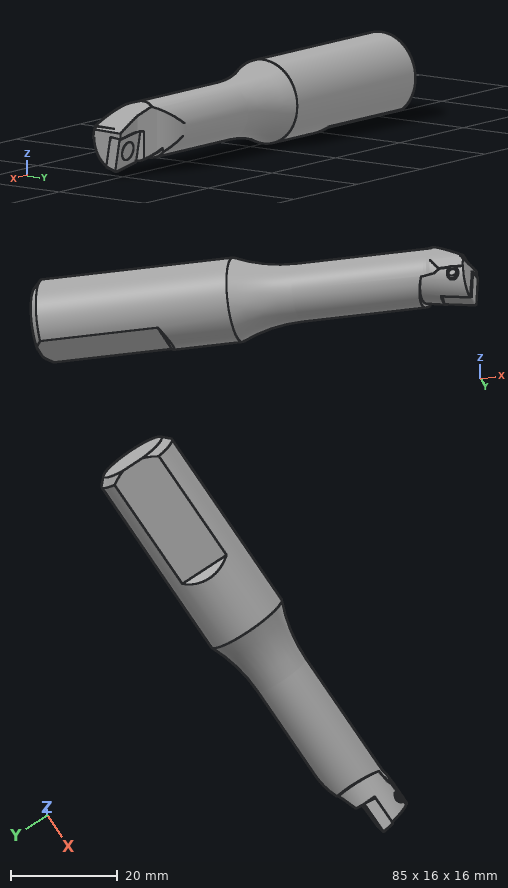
import cadquery as cq
import math

length = 85.0
overshoot = 20.0

shank_radius = 8.0
shank_end = 38.5
rear_chamfer = 1.4
flat_height = -6.25
flat_end = 24.3
flat_runout = 1.6

bar_radius = 5.5
neck_radius = 30.0
neck_drop = shank_radius - bar_radius
bar_start = shank_end + math.sqrt(neck_radius**2 - (neck_radius - neck_drop) ** 2)
bar_end = 76.15

nose_land_end = 76.7
nose_land_radius = 5.54
nose_start = 77.45
nose_radius = 5.7
top_slope_end_x = 83.9
top_slope_end_z = 1.25
side_flat_top = 1.0
side_flat_bottom = -1.05
side_flat_lead = 1.75
side_flat_bottom_start = nose_start + side_flat_lead

belly_tilt = 10.2
belly_radius = 5.5
belly_y = -0.2
belly_ref_x = 78.7
belly_ref_z = 0.05
belly_rear_low_x = 74.4
belly_rear_top = (75.6, -2.0)
belly_step = (78.2, -1.75)

end_face_x = 84.63
end_face_lean = 0.12
end_bevel = 0.6

relief_start = 69.6
relief_arc_mid = (72.9, 4.8)
relief_arc_end = (76.1, 3.2)
relief_bend = (79.9, 1.5)
seat_rear = (80.8, 1.37)
seat_front_y = 1.15

insert_tilt = math.radians(9.5)
insert_tip_z = -6.85
insert_edge = 6.45
insert_acute = math.radians(80.0)
insert_thickness = 2.38
insert_relief = 7.0
insert_corner_radius = 0.4

screw_radius = 1.1
screw_head_radius = 1.75
screw_head_height = 1.2
screw_length = 6.3
screw_end_chamfer = 0.35

insert_plane = cq.Plane(
    origin=(length, 0, insert_tip_z),
    xDir=(-1, 0, 0),
    normal=(0, math.cos(insert_tilt), -math.sin(insert_tilt)),
)
insert_run = insert_edge * math.sin(insert_acute)
insert_rise = insert_edge * math.cos(insert_acute)
insert_centre = (insert_run / 2, (insert_edge + insert_rise) / 2)


def make_turned_blank():
    """Shank, neck, bar and nose as one body of revolution."""
    neck_mid_x = (shank_end + bar_start) / 2
    neck_mid_r = bar_radius + neck_radius - math.sqrt(neck_radius**2 - (bar_start - neck_mid_x) ** 2)
    return (
        cq.Workplane("XY")
        .moveTo(0, 0)
        .lineTo(0, shank_radius - rear_chamfer)
        .lineTo(rear_chamfer, shank_radius)
        .lineTo(shank_end, shank_radius)
        .threePointArc((neck_mid_x, neck_mid_r), (bar_start, bar_radius))
        .lineTo(bar_end, bar_radius)
        .lineTo(nose_land_end, nose_land_radius)
        .lineTo(nose_start, nose_radius)
        .lineTo(length, nose_radius)
        .lineTo(length, 0)
        .close()
        .revolve(360, (0, 0, 0), (1, 0, 0))
    )


def make_side_flat():
    """Wedge of material whose -Y face is tangent to the round nose."""
    tangent_y = -math.sqrt(nose_radius**2 - side_flat_top**2)
    outward_slope = side_flat_top / -tangent_y
    bottom_y = tangent_y - outward_slope * (side_flat_top - side_flat_bottom)
    wedge = (
        cq.Workplane("YZ", origin=(nose_start, 0, 0))
        .polyline([
            (0, side_flat_top),
            (tangent_y, side_flat_top),
            (bottom_y, side_flat_bottom),
            (0, side_flat_bottom),
        ])
        .close()
        .extrude(length - nose_start)
    )
    slanted_rear = (
        cq.Workplane("XZ")
        .polyline([
            (nose_start, side_flat_top),
            (length, side_flat_top),
            (length, side_flat_bottom),
            (side_flat_bottom_start, side_flat_bottom),
        ])
        .close()
        .extrude(overshoot, both=True)
    )
    return wedge.intersect(slanted_rear)


def make_clamping_flat_cut():
    """Flat under the shank, open at the rear and running out on a slope."""
    return (
        cq.Workplane("XZ")
        .polyline([
            (0, flat_height),
            (flat_end, flat_height),
            (flat_end + flat_runout, -shank_radius),
            (0, -shank_radius),
        ])
        .close()
        .extrude(overshoot, both=True)
    )


def make_top_slope_cut():
    """Plane that slopes down from the top of the bar to the tip."""
    slope = (top_slope_end_z - bar_radius) / (top_slope_end_x - bar_end)
    far_x = length + overshoot
    far_z = bar_radius + slope * (far_x - bar_end)
    return (
        cq.Workplane("XZ")
        .polyline([
            (bar_end, bar_radius),
            (far_x, far_z),
            (far_x, overshoot),
            (bar_end - bar_radius, overshoot),
            (bar_end - bar_radius, bar_radius - slope * bar_radius),
        ])
        .close()
        .extrude(overshoot, both=True)
    )


def make_belly_region():
    """Everything under the nose that the inclined cylinder replaces."""
    return (
        cq.Workplane("XZ")
        .polyline([
            (belly_rear_low_x, -bar_radius),
            belly_rear_top,
            belly_step,
            (side_flat_bottom_start, side_flat_bottom),
            (length, side_flat_bottom),
            (length, -overshoot),
            (belly_rear_low_x, -overshoot),
        ])
        .close()
        .extrude(overshoot, both=True)
    )


def make_belly():
    """Underside of the nose, dropping towards the insert tip."""
    cylinder = (
        cq.Workplane("YZ")
        .circle(belly_radius)
        .extrude(overshoot, both=True)
        .rotate((0, 0, 0), (0, 1, 0), belly_tilt)
        .translate((belly_ref_x, belly_y, belly_ref_z))
    )
    return cylinder.intersect(make_belly_region())


def make_end_cut():
    """Slanted end face, and the bevel between it and the sloping top."""
    face = (
        cq.Workplane("XY")
        .polyline([
            (end_face_x - end_face_lean * overshoot, -overshoot),
            (end_face_x + end_face_lean * overshoot, overshoot),
            (end_face_x + overshoot, overshoot),
            (end_face_x + overshoot, -overshoot),
        ])
        .close()
        .extrude(overshoot, both=True)
    )
    bevel = (
        cq.Workplane("XZ")
        .polyline([
            (end_face_x - end_bevel, top_slope_end_z),
            (end_face_x, top_slope_end_z - end_bevel),
            (end_face_x + end_bevel, top_slope_end_z),
        ])
        .close()
        .extrude(overshoot, both=True)
        .rotate((end_face_x, 0, 0), (end_face_x, 0, 1), -math.degrees(math.atan(end_face_lean)))
    )
    return face.union(bevel)


def make_chip_relief_cut():
    """Relief on the +Y side that runs down to the seat face of the insert."""
    return (
        cq.Workplane("XY")
        .moveTo(relief_start, bar_radius)
        .threePointArc(relief_arc_mid, relief_arc_end)
        .lineTo(*relief_bend)
        .lineTo(*seat_rear)
        .lineTo(length, seat_front_y)
        .lineTo(length, overshoot)
        .lineTo(relief_start, overshoot)
        .close()
        .extrude(overshoot, both=True)
    )


def insert_outline():
    """Rhombus on the rake plane, shrunk and regrown to round its corners."""
    return (
        cq.Workplane(insert_plane)
        .polyline([
            (0, 0),
            (0, insert_edge),
            (insert_run, insert_edge + insert_rise),
            (insert_run, insert_rise),
        ])
        .close()
        .offset2D(-insert_corner_radius)
        .offset2D(insert_corner_radius)
    )


def make_insert_blank():
    """Insert without its screw hole, tapering away from the rake face."""
    return insert_outline().extrude(-insert_thickness, taper=insert_relief)


def make_edge_clearance():
    """Space under the lower cutting edge, so the holder stays behind the insert's flank."""
    inset = insert_thickness * math.tan(math.radians(insert_relief)) / math.sin(insert_acute)
    return (
        cq.Workplane(insert_plane)
        .polyline([
            (-belly_radius, inset),
            (0, inset),
            (insert_run, insert_rise + inset),
            (insert_run, -belly_radius),
            (-belly_radius, -belly_radius),
        ])
        .close()
        .extrude(-insert_thickness)
    )


def make_screw():
    """Conical head flush with the rake face, and a plain shank with a chamfered end."""
    half_profile = [
        (0, 0),
        (screw_head_radius, 0),
        (screw_radius, -screw_head_height),
        (screw_radius, screw_end_chamfer - screw_length),
        (screw_radius - screw_end_chamfer, -screw_length),
        (0, -screw_length),
    ]
    axis_origin = insert_plane.toWorldCoords(insert_centre)
    section = cq.Plane(origin=axis_origin, xDir=(1, 0, 0), normal=insert_plane.yDir)
    return cq.Workplane(section).polyline(half_profile).close().revolve(360, (0, 0, 0), (0, 1, 0))


def make_screw_hole():
    """Bore for the screw shank, right through the holder behind the insert."""
    return (
        cq.Workplane(insert_plane)
        .center(*insert_centre)
        .circle(screw_radius)
        .extrude(-overshoot)
    )


screw = make_screw()
insert_blank = make_insert_blank()
insert = insert_blank.cut(screw)

holder = (
    make_turned_blank()
    .union(make_side_flat())
    .cut(make_clamping_flat_cut())
    .cut(make_top_slope_cut())
    .cut(make_belly_region())
    .union(make_belly())
    .cut(make_end_cut())
    .cut(make_chip_relief_cut())
    .cut(insert_outline().extrude(overshoot))
    .cut(make_edge_clearance())
    .cut(insert_blank)
    .cut(make_screw_hole())
)

result = cq.Compound.makeCompound([holder.val(), insert.val(), screw.val()])